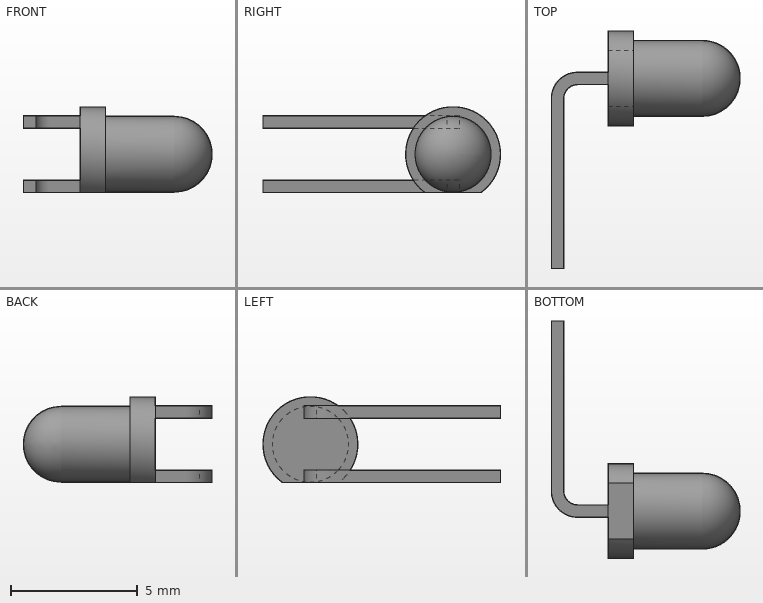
import cadquery as cq

lens_diameter = 3.0
flange_diameter = 3.75
flange_thickness = 1.0
flat_depth = 1.52
total_length = 7.45
flange_back_x = 2.24

lead_width = 0.5
lead_pitch = 2.54
bend_inner_radius = 0.54
lead_drop = 7.5

lens_radius = lens_diameter / 2
flange_radius = flange_diameter / 2
flange_front_x = flange_back_x + flange_thickness
dome_start_x = total_length - lens_radius
bend_outer_radius = bend_inner_radius + lead_width


def make_lamp():
    """Flange with a flat underside, cylindrical lens and hemispherical tip."""
    flange = cq.Workplane("YZ", origin=(flange_back_x, 0, 0)).circle(flange_radius).extrude(flange_thickness)
    above_flat = cq.Workplane("XY", origin=(flange_back_x, 0, -flat_depth)).box(
        flange_thickness,
        flange_diameter,
        flat_depth + flange_radius,
        centered=(False, True, False),
    )
    lens = (
        cq.Workplane("XY", origin=(flange_front_x, 0, 0))
        .lineTo(0, lens_radius)
        .lineTo(dome_start_x - flange_front_x, lens_radius)
        .radiusArc((total_length - flange_front_x, 0), lens_radius)
        .close()
        .revolve(360, (0, 0, 0), (1, 0, 0))
    )
    return flange.intersect(above_flat).union(lens)


def make_lead(center_z):
    """Square wire from the back of the flange, rounded through the bend, down to its free end."""
    outer_y = lead_width / 2
    inner_y = -lead_width / 2
    bend_end_y = outer_y - bend_outer_radius
    return (
        cq.Workplane("XY", origin=(0, 0, center_z - lead_width / 2))
        .moveTo(flange_back_x, outer_y)
        .lineTo(bend_outer_radius, outer_y)
        .radiusArc((0, bend_end_y), -bend_outer_radius)
        .lineTo(0, -lead_drop)
        .lineTo(lead_width, -lead_drop)
        .lineTo(lead_width, bend_end_y)
        .radiusArc((bend_outer_radius, inner_y), bend_inner_radius)
        .lineTo(flange_back_x, inner_y)
        .close()
        .extrude(lead_width)
    )


lamp = make_lamp()
leads = [make_lead(side * lead_pitch / 2) for side in (-1, 1)]

result = cq.Compound.makeCompound([lamp.val(), *[lead.val() for lead in leads]])